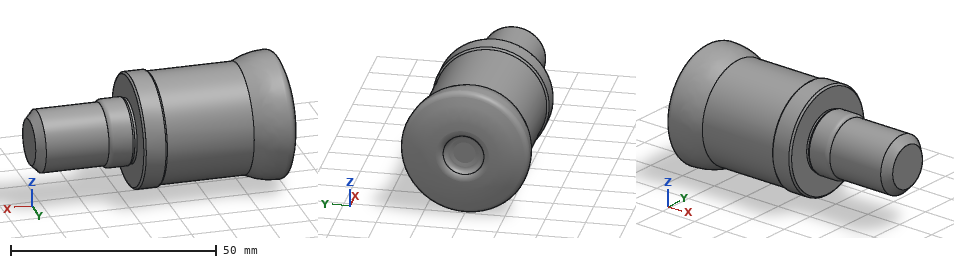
import cadquery as cq
import math

TOTAL_LENGTH = 65.0
CAP_LENGTH = 11.95
COLLAR_START = 34.0
COLLAR_END = 39.95

CAP_RADIUS = 16.0
FACE_EDGE_X = 1.95
FACE_EDGE_RADIUS = 14.95

MOUTH_RADIUS = 6.7
WALL_RADIUS = 5.1
STEP_RADIUS = 3.65
FLOOR_RADIUS = 2.7
LIP_DEPTH = 0.85
HOLLOW_DEPTH = 1.25
HOLLOW_ARC = 1.5
STEP_DEPTH = 0.2

SLEEVE_RADIUS = 28.0 / 2
COLLAR_RADIUS = 29.0 / 2
COLLAR_CHAMFER = COLLAR_RADIUS - SLEEVE_RADIUS

SHOULDER_RADIUS = 17.0 / 2
NECK_RADIUS = 8.2
NECK_LENGTH = 0.6
NECK_TAPER = 0.5
SHOULDER_LENGTH = 4.75
SHOULDER_TAPER = 1.2

SHANK_RADIUS = 15.7 / 2
TIP_CHAMFER = 2.1


def revolve_about_x(profile):
    """Revolve a closed half profile, drawn as (x, radius), around the X axis."""
    return profile.close().revolve(360, (0, 0, 0), (1, 0, 0))


def make_cap():
    """Domed knob cap with a round recess in its face."""
    lip_width = MOUTH_RADIUS - WALL_RADIUS
    lip_arc = (LIP_DEPTH**2 + lip_width**2) / (2 * LIP_DEPTH)
    step_x = LIP_DEPTH + HOLLOW_DEPTH
    floor_x = step_x + STEP_DEPTH

    dome_height = FACE_EDGE_RADIUS - MOUTH_RADIUS
    dome_arc = (FACE_EDGE_X**2 + dome_height**2) / (2 * FACE_EDGE_X)
    rim_turn = math.acos(dome_height / dome_arc)
    rim_x = FACE_EDGE_X + (CAP_RADIUS - FACE_EDGE_RADIUS) / math.tan(rim_turn / 2)

    profile = (
        cq.Workplane("XY")
        .moveTo(CAP_LENGTH, 0)
        .lineTo(floor_x, 0)
        .lineTo(floor_x, FLOOR_RADIUS)
        .lineTo(step_x, STEP_RADIUS)
        .radiusArc((LIP_DEPTH, WALL_RADIUS), -HOLLOW_ARC)
        .radiusArc((0, MOUTH_RADIUS), lip_arc)
    )
    profile = (
        profile
        .radiusArc((FACE_EDGE_X, FACE_EDGE_RADIUS), dome_arc)
        .tangentArcPoint((rim_x, CAP_RADIUS), relative=False)
        .tangentArcPoint((CAP_LENGTH, SLEEVE_RADIUS), relative=False)
    )
    return revolve_about_x(profile)


def make_pin():
    """Pin with a sleeve, a chamfered collar, a shoulder and a shank."""
    neck_end = COLLAR_END + NECK_LENGTH
    shoulder_start = neck_end + NECK_TAPER
    shoulder_end = shoulder_start + SHOULDER_LENGTH
    shank_start = shoulder_end + SHOULDER_TAPER
    profile = (
        cq.Workplane("XY")
        .moveTo(CAP_LENGTH, 0)
        .lineTo(CAP_LENGTH, SLEEVE_RADIUS)
        .lineTo(COLLAR_START, SLEEVE_RADIUS)
        .lineTo(COLLAR_START + COLLAR_CHAMFER, COLLAR_RADIUS)
        .lineTo(COLLAR_END - COLLAR_CHAMFER, COLLAR_RADIUS)
        .lineTo(COLLAR_END, SLEEVE_RADIUS)
        .lineTo(COLLAR_END, NECK_RADIUS)
        .lineTo(neck_end, NECK_RADIUS)
        .lineTo(shoulder_start, SHOULDER_RADIUS)
        .lineTo(shoulder_end, SHOULDER_RADIUS)
        .tangentArcPoint((shank_start, SHANK_RADIUS), relative=False)
        .lineTo(TOTAL_LENGTH - TIP_CHAMFER, SHANK_RADIUS)
        .lineTo(TOTAL_LENGTH, SHANK_RADIUS - TIP_CHAMFER)
        .lineTo(TOTAL_LENGTH, 0)
    )
    return revolve_about_x(profile)


cap = make_cap()
pin = make_pin()
result = cq.Compound.makeCompound([cap.val(), pin.val()])